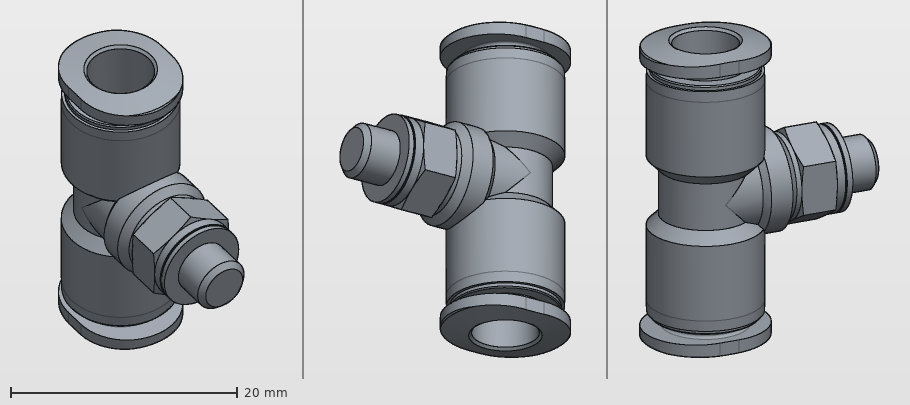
import cadquery as cq
import math


run_half_length = 14.2
waist_radius = 4.17
waist_half_length = 2.22
socket_radius = 5.25
socket_rim_radius = 5.23
socket_taper_z = 10.4
socket_rim_z = 11.4
socket_foot_z = waist_half_length + socket_radius - waist_radius

collar_radius = 9.9 / 2
collar_top_z = 11.81
collar_chamfer = 0.1
neck_radius = 7.4 / 2
neck_fillet = 0.28

flange_end_radius = 9.9 / 2
flange_half_length = 5.9
flange_base_z = 12.65
flange_face_drop = 0.45
flange_rim_bevel = 0.15

socket_bore_radius = 6.0 / 2
socket_bore_chamfer = 0.25
passage_diameter = 2.1

branch_collar_radius = 9.45 / 2
branch_step_x = 3.65
branch_collar_end_x = 6.3
branch_neck_radius = 8.0 / 2
hex_start_x = 7.53
hex_end_x = 11.0
hex_chamfer_angle = 15.0
seal_groove_x = 11.85
seal_groove_width = 0.1
seal_groove_depth = 0.09
seal_end_x = 12.5
stud_radius = 5.0 / 2
stud_end_x = 16.0
stud_chamfer = 0.5


def revolve_about_z(points):
    """Revolve a closed (radius, z) outline about the Z axis."""
    return cq.Workplane("XZ").polyline(points).close().revolve(360, (0, 0), (0, 1))


def revolve_about_x(points):
    """Revolve a closed (x, radius) outline about the X axis."""
    return cq.Workplane("XY").polyline(points).close().revolve(360, (0, 0), (1, 0))


def make_upper_run():
    """Upper half of the run: waist, socket, collar and neck filleted into the flange."""
    arc_inset = neck_fillet * (1 - math.cos(math.radians(45)))
    outline = (
        cq.Workplane("XZ")
        .lineTo(waist_radius, 0)
        .lineTo(waist_radius, waist_half_length)
        .lineTo(socket_radius, socket_foot_z)
        .lineTo(socket_radius, socket_taper_z)
        .lineTo(socket_rim_radius, socket_rim_z)
        .lineTo(collar_radius, socket_rim_z)
        .lineTo(collar_radius, collar_top_z - collar_chamfer)
        .lineTo(collar_radius - collar_chamfer, collar_top_z)
        .lineTo(neck_radius, collar_top_z)
        .lineTo(neck_radius, flange_base_z - neck_fillet)
        .threePointArc(
            (neck_radius + arc_inset, flange_base_z - arc_inset),
            (neck_radius + neck_fillet, flange_base_z),
        )
        .lineTo(0, flange_base_z)
        .close()
    )
    return outline.revolve(360, (0, 0), (0, 1))


def make_flange():
    """Oblong flange whose outer face falls away as a cone to a bevelled rim."""
    face_edge_radius = flange_half_length - flange_rim_bevel
    face_edge_z = run_half_length - flange_face_drop
    blank = (
        cq.Workplane("XY")
        .workplane(offset=flange_base_z)
        .slot2D(2 * flange_half_length, 2 * flange_end_radius)
        .extrude(run_half_length - flange_base_z)
    )
    envelope = revolve_about_z([
        (0, flange_base_z),
        (flange_half_length, flange_base_z),
        (flange_half_length, face_edge_z - flange_rim_bevel),
        (face_edge_radius, face_edge_z),
        (socket_bore_radius + socket_bore_chamfer, run_half_length),
        (0, run_half_length),
    ])
    return blank.intersect(envelope)


def make_socket_bore():
    """Tube bore with a chamfered mouth, ending at the foot of the socket."""
    return revolve_about_z([
        (0, socket_foot_z),
        (socket_bore_radius, socket_foot_z),
        (socket_bore_radius, run_half_length - socket_bore_chamfer),
        (socket_bore_radius + socket_bore_chamfer, run_half_length),
        (0, run_half_length),
    ])


def make_branch():
    """Turned branch profile from the run axis to the end of the stud."""
    inner_cone_end_x = branch_step_x + branch_collar_radius - waist_radius
    outer_cone_end_x = branch_collar_end_x + branch_collar_radius - branch_neck_radius
    groove_end_x = seal_groove_x + seal_groove_width
    groove_radius = branch_neck_radius - seal_groove_depth
    return revolve_about_x([
        (0, 0),
        (0, waist_radius),
        (branch_step_x, waist_radius),
        (inner_cone_end_x, branch_collar_radius),
        (branch_collar_end_x, branch_collar_radius),
        (outer_cone_end_x, branch_neck_radius),
        (seal_groove_x, branch_neck_radius),
        (seal_groove_x, groove_radius),
        (groove_end_x, groove_radius),
        (groove_end_x, branch_neck_radius),
        (seal_end_x, branch_neck_radius),
        (seal_end_x, stud_radius),
        (stud_end_x - stud_chamfer, stud_radius),
        (stud_end_x, stud_radius - stud_chamfer),
        (stud_end_x, 0),
    ])


def make_hex():
    """Hexagon with corners up and down, its end corners turned to a cone.

    Its flats are tangent to the round branch neck.
    """
    corner_radius = branch_neck_radius / math.cos(math.radians(30))
    corner_height = corner_radius - branch_neck_radius
    corner_setback = corner_height * math.tan(math.radians(hex_chamfer_angle))
    prism = (
        cq.Workplane("YZ")
        .workplane(offset=hex_start_x)
        .transformed(rotate=(0, 0, 90))
        .polygon(6, 2 * corner_radius)
        .extrude(hex_end_x - hex_start_x)
    )
    envelope = revolve_about_x([
        (hex_start_x, 0),
        (hex_start_x, branch_neck_radius),
        (hex_start_x + corner_setback, corner_radius),
        (hex_end_x - corner_setback, corner_radius),
        (hex_end_x, branch_neck_radius),
        (hex_end_x, 0),
    ])
    return prism.intersect(envelope)


upper_run = make_upper_run().union(make_flange())
socket_bore = make_socket_bore()
passage = cq.Workplane("XY").circle(passage_diameter / 2).extrude(run_half_length, both=True)

result = (
    upper_run
    .union(upper_run.mirror("XY"))
    .union(make_branch())
    .union(make_hex())
    .cut(socket_bore)
    .cut(socket_bore.mirror("XY"))
    .cut(passage)
    .clean()
)